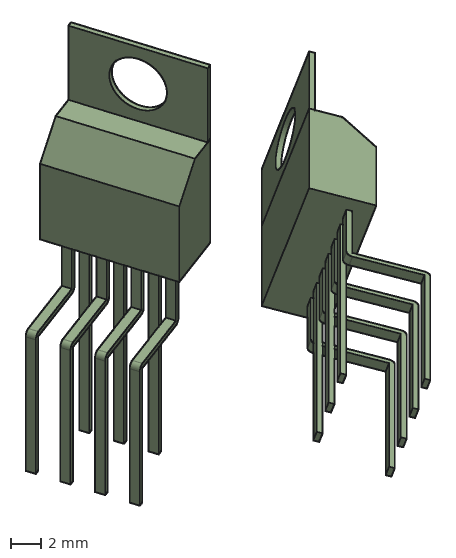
import cadquery as cq

width = 10.2
depth = 8.68
height = 31.22

tab_height = 6.25
tab_thickness = 0.4
hole_diameter = 4.2

housing_height = 8.7
housing_depth = 4.65
bevel_size = 2.35

lead_count = 7
lead_row_span = 7.62
lead_width = 0.75
lead_thickness = 0.4
lead_setback = 2.87
bend_drop = 4.55

housing_bottom = height - tab_height - housing_height
housing_top = housing_bottom + housing_height
lead_pitch = lead_row_span / (lead_count - 1)
lead_back = -lead_setback
lead_front = lead_back - lead_thickness
run_top = housing_bottom - bend_drop
run_bottom = run_top - lead_thickness
bent_front = -depth
bent_back = bent_front + lead_thickness


def extrude_across(profile, center_x, extent):
    """Extrude a YZ profile symmetrically about the given X position."""
    return profile.extrude(extent / 2, both=True).translate((center_x, 0, 0))


def make_tab():
    """Plate standing on the housing, with a round mounting hole at mid height."""
    plate = cq.Workplane("XY").box(width, tab_thickness, tab_height)
    plate = plate.faces("<Y").workplane().hole(hole_diameter)
    return plate.translate((0, -tab_thickness / 2, housing_top + tab_height / 2))


def make_housing():
    """Block with a bevelled upper front edge."""
    profile = (
        cq.Workplane("YZ")
        .moveTo(0, housing_bottom)
        .lineTo(0, housing_top)
        .lineTo(-housing_depth + bevel_size, housing_top)
        .lineTo(-housing_depth, housing_top - bevel_size)
        .lineTo(-housing_depth, housing_bottom)
        .close()
    )
    return extrude_across(profile, 0, width)


def make_straight_lead(center_x):
    """Plain strip running straight down from the housing."""
    profile = (
        cq.Workplane("YZ")
        .moveTo(lead_back, 0)
        .lineTo(lead_back, housing_bottom)
        .lineTo(lead_front, housing_bottom)
        .lineTo(lead_front, 0)
        .close()
    )
    return extrude_across(profile, center_x, lead_width)


def make_bent_lead(center_x):
    """Strip stepped forward; bends are sharp inside and rounded outside by the strip thickness."""
    profile = (
        cq.Workplane("YZ")
        .moveTo(lead_front, housing_bottom)
        .lineTo(lead_back, housing_bottom)
        .lineTo(lead_back, run_top)
        .radiusArc((lead_front, run_bottom), lead_thickness)
        .lineTo(bent_back, run_bottom)
        .lineTo(bent_back, 0)
        .lineTo(bent_front, 0)
        .lineTo(bent_front, run_bottom)
        .radiusArc((bent_back, run_top), lead_thickness)
        .lineTo(lead_front, run_top)
        .close()
    )
    return extrude_across(profile, center_x, lead_width)


tab = make_tab()
housing = make_housing()

leads = []
for index in range(lead_count):
    center_x = index * lead_pitch - lead_row_span / 2
    make_lead = make_bent_lead if index % 2 == 0 else make_straight_lead
    leads.append(make_lead(center_x).val())

result = cq.Compound.makeCompound([tab.val(), housing.val(), *leads])